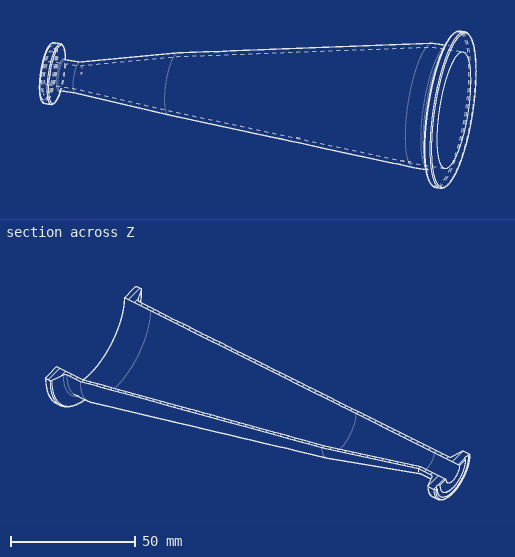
import cadquery as cq

length = 165.1
wall = 1.7

small_tube_diameter = 12.7
middle_diameter = 25.5
large_tube_diameter = 50.9

small_tube_end = 12.5
middle_station = 51.0
large_tube_start = 152.2

small_flange_diameter = 25.0
small_rim_width = 4.0
small_flange_width = 5.8
small_neck_fillet = 0.5
large_flange_diameter = 63.9
large_rim_width = 3.1
large_flange_width = 5.5
large_neck_fillet = 1.3
rim_chamfer = 0.5
flange_neck_length = 3.3

groove_outer_diameter = 22.0
groove_inner_diameter = 17.8
groove_depth = 0.8

flush_side = -large_tube_diameter / 2
small_axis = flush_side + small_tube_diameter / 2


def tapered_body(inset):
    """Flush-sided run of tubes and tapers, drawn in by inset from the outside."""
    stations = [
        (0, small_tube_diameter),
        (small_tube_end, small_tube_diameter),
        (middle_station, middle_diameter),
        (large_tube_start, large_tube_diameter),
        (length, large_tube_diameter),
    ]
    rings = []
    for x, diameter in stations:
        axis = flush_side + diameter / 2
        ring = cq.Wire.makeCircle(diameter / 2 - inset, cq.Vector(x, axis, 0), cq.Vector(1, 0, 0))
        rings.append(ring)
    return cq.Workplane(cq.Solid.makeLoft(rings, True))


def edge_centred_at(x):
    """Selector for the circular edge whose centre lies at X = x on the X axis."""
    reach = 0.2
    return cq.selectors.BoxSelector((x - reach, -reach, -reach), (x + reach, reach, reach))


def flange(diameter, rim_width, width, neck_diameter, neck_fillet):
    """Clamp flange with its face at X = 0 and its conical back towards +X, with a short tube neck."""
    rim_radius = diameter / 2
    profile = [
        (0, 0),
        (0, rim_radius - rim_chamfer),
        (rim_chamfer, rim_radius),
        (rim_width - rim_chamfer, rim_radius),
        (rim_width, rim_radius - rim_chamfer),
        (width, neck_diameter / 2),
        (width + flange_neck_length, neck_diameter / 2),
        (width + flange_neck_length, 0),
    ]
    solid = cq.Workplane("XY").polyline(profile).close().revolve(360, (0, 0, 0), (1, 0, 0))
    return solid.edges(edge_centred_at(width)).fillet(neck_fillet)


def gasket_groove():
    """Ring with an arc section, centred on the X axis and sunk from X = 0."""
    inner_radius = groove_inner_diameter / 2
    outer_radius = groove_outer_diameter / 2
    floor_radius = (inner_radius + outer_radius) / 2
    section = (
        cq.Workplane("XY")
        .moveTo(0, inner_radius)
        .threePointArc((groove_depth, floor_radius), (0, outer_radius))
        .close()
    )
    return section.revolve(360, (0, 0, 0), (1, 0, 0))


small_flange = flange(
    small_flange_diameter, small_rim_width, small_flange_width, small_tube_diameter, small_neck_fillet
)
small_flange = small_flange.translate((0, small_axis, 0))

large_flange = flange(
    large_flange_diameter, large_rim_width, large_flange_width, large_tube_diameter, large_neck_fillet
)
large_flange = large_flange.mirror("YZ").translate((length, 0, 0))

outside = tapered_body(0).union(small_flange).union(large_flange)

bore = tapered_body(wall)
groove = gasket_groove().translate((0, small_axis, 0))
result = outside.cut(bore).cut(groove)